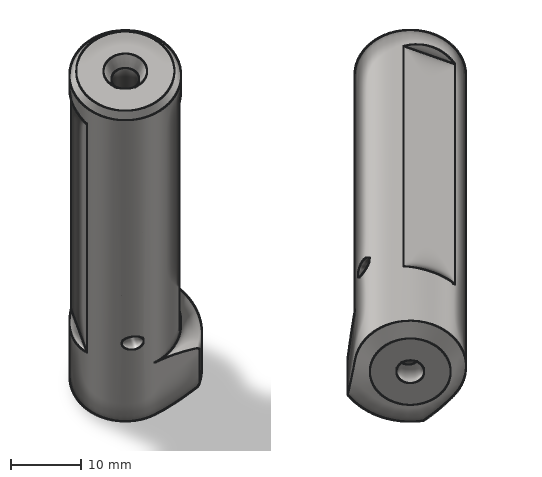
import cadquery as cq
import math

length = 75.0
body_diameter = 16.0
overall_depth = 19.0
body_radius = body_diameter / 2
top_chamfer = 1.0
end_cone_angle = math.radians(30)
bottom_face_radius = 5.8

lug_radius = overall_depth - body_radius
lug_side_angle = math.radians(15)
lug_shoulder_height = 13.9
lug_edge_fillet = 1.0
lug_hole_diameter = 5.0
lug_hole_height = 7.05

flat_distance = 6.9
flat_bottom = 15.0
flat_top = 70.05
flat_end_angle = math.radians(30)

bore_diameter = 4.0
countersink_diameter = 6.2
countersink_half_angle = math.radians(30)
cross_hole_diameter = 3.15
cross_hole_y = -1.2
cross_hole_height = 20.1

cut_margin = 3.75


def cone_height(radius):
    """Height of the bottom cone at a distance from the axis."""
    return (radius - bottom_face_radius) * math.tan(end_cone_angle)


def make_body():
    profile = (
        cq.Workplane("XZ")
        .lineTo(bottom_face_radius, 0)
        .lineTo(body_radius, cone_height(body_radius))
        .lineTo(body_radius, length - top_chamfer)
        .lineTo(body_radius - top_chamfer, length)
        .lineTo(0, length)
        .close()
    )
    return profile.revolve(360, (0, 0, 0), (0, 1, 0))


def make_lug():
    """Disc with conical ends, trimmed to a wedge whose sides are tangent to the body."""
    lug_drop = (lug_radius - body_radius) * math.tan(end_cone_angle)
    disc = (
        cq.Workplane("XZ")
        .lineTo(bottom_face_radius, 0)
        .lineTo(lug_radius, cone_height(lug_radius))
        .lineTo(lug_radius, lug_shoulder_height - lug_drop)
        .lineTo(body_radius, lug_shoulder_height)
        .lineTo(0, lug_shoulder_height)
        .close()
        .revolve(360, (0, 0, 0), (0, 1, 0))
    )
    rims = cq.selectors.RadiusNthSelector(-1)
    disc = disc.edges(rims).fillet(lug_edge_fillet)

    tangent_x = body_radius * math.cos(lug_side_angle)
    tangent_y = body_radius * math.sin(lug_side_angle)
    wedge_y = lug_radius + cut_margin
    wedge_x = tangent_x - (wedge_y - tangent_y) * math.tan(lug_side_angle)
    wedge = (
        cq.Workplane("XY")
        .moveTo(0, 0)
        .lineTo(tangent_x, tangent_y)
        .lineTo(wedge_x, wedge_y)
        .lineTo(-wedge_x, wedge_y)
        .lineTo(-tangent_x, tangent_y)
        .close()
        .extrude(lug_shoulder_height)
    )
    return disc.intersect(wedge)


def make_flat_cutter(side):
    """Trapezoid block that cuts one flat; side is +1 for +Y and -1 for -Y."""
    outer_distance = body_radius + cut_margin
    end_slope = (outer_distance - flat_distance) * math.tan(flat_end_angle)
    return (
        cq.Workplane("YZ")
        .moveTo(side * flat_distance, flat_bottom)
        .lineTo(side * outer_distance, flat_bottom - end_slope)
        .lineTo(side * outer_distance, flat_top + end_slope)
        .lineTo(side * flat_distance, flat_top)
        .close()
        .extrude(body_radius, both=True)
    )


def make_bore():
    bore = cq.Workplane("XY").circle(bore_diameter / 2).extrude(length)
    rim_width = (countersink_diameter - bore_diameter) / 2
    countersink_depth = rim_width / math.tan(countersink_half_angle)
    countersink = cq.Workplane("XY").add(
        cq.Solid.makeCone(
            bore_diameter / 2,
            countersink_diameter / 2,
            countersink_depth,
            pnt=cq.Vector(0, 0, length - countersink_depth),
        )
    )
    return bore.union(countersink)


def make_cross_hole():
    return (
        cq.Workplane("YZ")
        .center(cross_hole_y, cross_hole_height)
        .circle(cross_hole_diameter / 2)
        .extrude(body_radius + cut_margin, both=True)
    )


def make_lug_hole():
    """Radial hole from the lug face into the bore."""
    return (
        cq.Workplane("XZ")
        .center(0, lug_hole_height)
        .circle(lug_hole_diameter / 2)
        .extrude(-(lug_radius + cut_margin))
    )


result = make_body()
for side in (-1, 1):
    result = result.cut(make_flat_cutter(side))
result = (
    result.union(make_lug())
    .cut(make_bore())
    .cut(make_cross_hole())
    .cut(make_lug_hole())
)